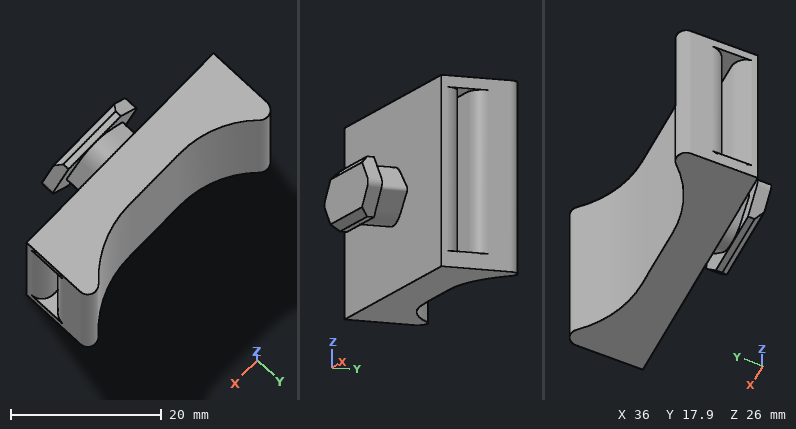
import cadquery as cq
import math

width = 36.0
height = 26.0
total_depth = 17.9

saddle_floor = 6.3
saddle_radius = 14.75
horn_radius = 1.45

slot_bottom = 2.2
slot_height = 22.2
gap_front = 2.95
gap_back = 4.5
mouth_front = 0.97
mouth_back = 6.55
flare_radius = 2.2

stem_radius = 3.95
stem_tip_radius = 0.45
stem_length = 4.6

head_thickness = 2.0
head_height = 8.17
head_flat = 10.08
head_sharp_length = 16.7
head_tip_radius = 1.0
head_chamfer = 1.05

body_depth = total_depth - stem_length - head_thickness
half_width = width / 2


def make_body():
    """Block with a saddle of two arcs and a flat, ending in rounded horns."""
    horn_x = half_width - horn_radius
    horn_y = body_depth - horn_radius
    arc_y = saddle_floor + saddle_radius
    reach = saddle_radius + horn_radius
    arc_x = horn_x - math.sqrt(reach**2 - (arc_y - horn_y) ** 2)
    across = (horn_x - arc_x) / reach
    down = (arc_y - horn_y) / reach
    end_x = arc_x + saddle_radius * across
    end_y = arc_y - saddle_radius * down
    half_angle = math.atan2(across, down) / 2
    mid_x = arc_x + saddle_radius * math.sin(half_angle)
    mid_y = arc_y - saddle_radius * math.cos(half_angle)
    return (
        cq.Workplane("XY")
        .moveTo(-half_width, 0)
        .lineTo(half_width, 0)
        .lineTo(half_width, horn_y)
        .threePointArc((horn_x, body_depth), (end_x, end_y))
        .threePointArc((mid_x, mid_y), (arc_x, saddle_floor))
        .lineTo(-arc_x, saddle_floor)
        .threePointArc((-mid_x, mid_y), (-end_x, end_y))
        .threePointArc((-horn_x, body_depth), (-half_width, horn_y))
        .close()
        .extrude(height / 2, both=True)
    )


def flare_point(offset):
    """Distance along X from the start of a flare, for a sideways offset from the gap wall."""
    return math.sqrt(flare_radius**2 - (flare_radius - offset) ** 2)


def make_slot():
    """Narrow channel whose walls curve outwards to a wide mouth at each side."""
    back_offset = mouth_back - gap_back
    front_offset = gap_front - mouth_front
    back_x = half_width - flare_point(back_offset)
    front_x = half_width - flare_point(front_offset)
    back_mid = back_offset / 2
    front_mid = front_offset / 2
    back_mid_x = back_x + flare_point(back_mid)
    front_mid_x = front_x + flare_point(front_mid)
    return (
        cq.Workplane("XY", origin=(0, 0, slot_bottom - height / 2))
        .moveTo(-half_width, mouth_front)
        .threePointArc((-front_mid_x, gap_front - front_mid), (-front_x, gap_front))
        .lineTo(front_x, gap_front)
        .threePointArc((front_mid_x, gap_front - front_mid), (half_width, mouth_front))
        .lineTo(half_width, mouth_back)
        .threePointArc((back_mid_x, gap_back + back_mid), (back_x, gap_back))
        .lineTo(-back_x, gap_back)
        .threePointArc((-back_mid_x, gap_back + back_mid), (-half_width, mouth_back))
        .close()
        .extrude(slot_height)
    )


def make_stem():
    """Cylinder joined with a square on its corner whose side tips are rounded."""
    tangent = stem_radius * math.sqrt(0.5)
    sharp_tip = stem_radius * math.sqrt(2)
    points = (
        cq.Workplane("XZ")
        .polyline([
            (-sharp_tip, 0),
            (-tangent, tangent),
            (tangent, tangent),
            (sharp_tip, 0),
            (tangent, -tangent),
            (-tangent, -tangent),
        ])
        .close()
        .extrude(stem_length)
        .edges("|Y and (<X or >X)")
        .fillet(stem_tip_radius)
    )
    cylinder = cq.Workplane("XZ").circle(stem_radius).extrude(stem_length)
    return cylinder.union(points)


def make_head():
    """Hexagonal plate in front of the stem."""
    half_flat = head_flat / 2
    half_height = head_height / 2
    half_length = head_sharp_length / 2
    plate = (
        cq.Workplane("XZ", origin=(0, -stem_length, 0))
        .polyline([
            (-half_length, 0),
            (-half_flat, half_height),
            (half_flat, half_height),
            (half_length, 0),
            (half_flat, -half_height),
            (-half_flat, -half_height),
        ])
        .close()
        .extrude(head_thickness)
        .edges("|Y and (<X or >X)")
        .fillet(head_tip_radius)
    )
    front = -stem_length - head_thickness
    bevelled = (
        cq.Workplane("YZ")
        .polyline([
            (-stem_length, -half_height),
            (front + head_chamfer, -half_height),
            (front, head_chamfer - half_height),
            (front, half_height - head_chamfer),
            (front + head_chamfer, half_height),
            (-stem_length, half_height),
        ])
        .close()
        .extrude(half_length, both=True)
    )
    return plate.intersect(bevelled)


result = make_body().cut(make_slot()).union(make_stem()).union(make_head())